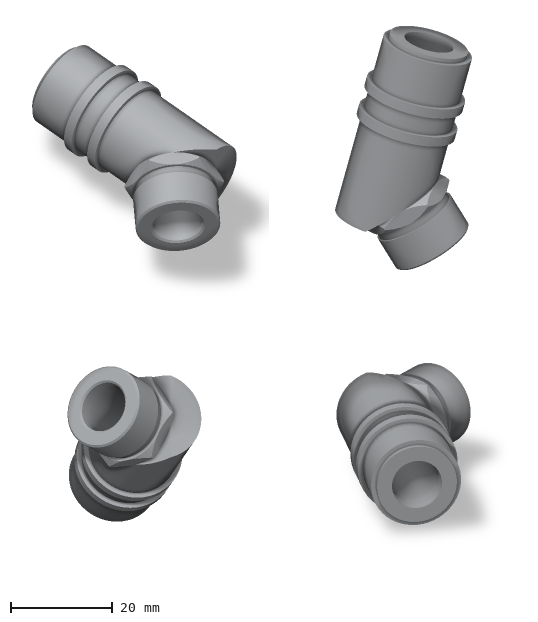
import cadquery as cq
import math

overall_length = 46.7
bend_angle = 45.0
bend_x = 29.5
bore_radius = 5.0

tube_radius = 9.0
tube_end_x = 38.5
spigot_radius = 8.0
spigot_length = 1.0

ring_radius = 10.0
ring_width = 2.0
ring_starts = (10.0, 16.0)

hex_sides = 6
hex_start = 4.35
hex_thickness = 3.0
hex_across_flats = 17.0
neck_radius = 7.95
neck_length = 1.75
collar_radius = 8.35
collar_chamfer = 0.37
bore_chamfer = 0.37
bore_chamfer_angle = 45.0

hex_end = hex_start + hex_thickness
neck_end = hex_end + neck_length
hex_across_corners = hex_across_flats / math.cos(math.pi / hex_sides)
hex_corner_chamfer = (hex_across_corners - hex_across_flats) / 2

rim_reach = (overall_length - bend_x) / math.cos(math.radians(bend_angle))
outlet_end = rim_reach - collar_radius + collar_chamfer

outlet_direction = cq.Vector(
    math.cos(math.radians(bend_angle)),
    -math.sin(math.radians(bend_angle)),
    0,
)
bend_point = cq.Vector(bend_x, 0, 0)


def outlet_plane(distance):
    """Plane square to the outlet axis, with its local X lying in the XY plane."""
    across = cq.Vector(0, 0, 1).cross(outlet_direction)
    return cq.Plane(bend_point + outlet_direction * distance, across, outlet_direction)


def inlet_cylinder(start, end, radius):
    """Cylinder on the inlet axis between two X positions."""
    return cq.Workplane("YZ", origin=(start, 0, 0)).circle(radius).extrude(end - start)


def outlet_cylinder(start, end, radius):
    """Cylinder on the outlet axis between two distances from the bend."""
    return cq.Workplane(outlet_plane(start)).circle(radius).extrude(end - start)


def make_inlet():
    """Tube with its stepped spigot, cut off where the hexagon's seat begins."""
    spigot = inlet_cylinder(0, spigot_length, spigot_radius)
    tube = inlet_cylinder(spigot_length, tube_end_x, tube_radius)
    beyond_seat = outlet_cylinder(hex_start, outlet_end, overall_length)
    return spigot.union(tube).cut(beyond_seat)


def make_hexagon():
    """Hexagon with corners chamfered at 45 degrees down to the across-flats circle on both faces."""
    hexagon = (
        cq.Workplane(outlet_plane(hex_start))
        .polygon(hex_sides, hex_across_corners)
        .extrude(hex_thickness)
    )
    chamfered_disc = outlet_cylinder(hex_start, hex_end, hex_across_corners / 2)
    chamfered_disc = chamfered_disc.edges("%CIRCLE").chamfer(hex_corner_chamfer)
    return hexagon.intersect(chamfered_disc)


def make_outlet():
    """Hexagon, neck and collar in line."""
    neck = outlet_cylinder(hex_end, neck_end, neck_radius)
    collar = outlet_cylinder(neck_end, outlet_end, collar_radius)
    end_face = cq.selectors.DirectionMinMaxSelector(outlet_direction)
    collar = collar.faces(end_face).chamfer(collar_chamfer)
    return make_hexagon().union(neck).union(collar)


def make_bore():
    """Round passage with a mitred bend, opening into a chamfer at the outlet face."""
    outlet_point = bend_point + outlet_direction * outlet_end
    path = cq.Workplane("XY").polyline([(0, 0), (bend_x, 0), (outlet_point.x, outlet_point.y)])
    passage = cq.Workplane("YZ").circle(bore_radius).sweep(path, transition="right")
    mouth = (
        cq.Workplane(outlet_plane(outlet_end))
        .circle(bore_radius + bore_chamfer)
        .extrude(-bore_chamfer, taper=bore_chamfer_angle)
    )
    return passage.union(mouth)


def make_housing():
    """Angled housing in one piece."""
    return make_inlet().union(make_outlet()).cut(make_bore()).solids()


def make_ring(start):
    """Square-edged ring that fits around the tube."""
    ring = cq.Workplane("YZ", origin=(start, 0, 0)).circle(ring_radius).circle(tube_radius)
    return ring.extrude(ring_width)


housing = make_housing()
rings = [make_ring(start) for start in ring_starts]

result = cq.Compound.makeCompound([housing.val(), *[ring.val() for ring in rings]])